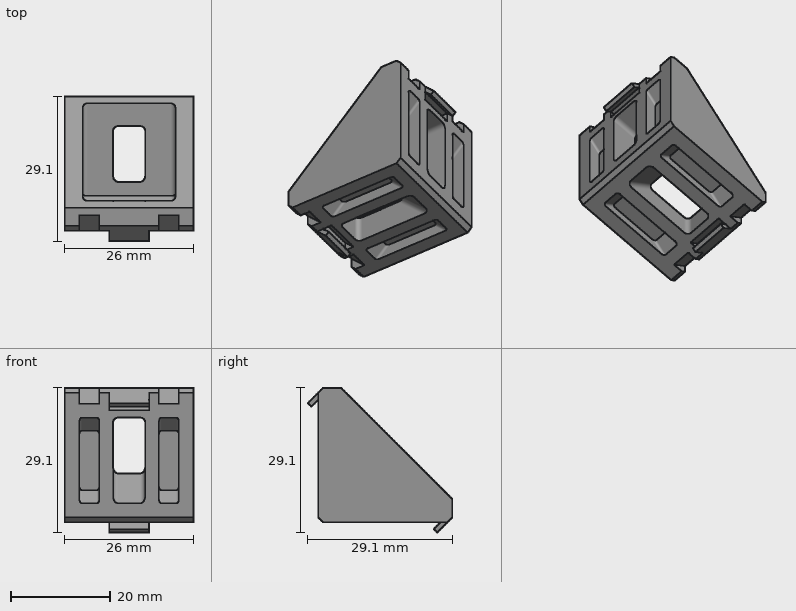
import cadquery as cq


width = 26.0
leg = 27.05
leg_end = 4.65
corner_chamfer = 1.0

pocket_width = 18.7
pocket_chamfer = 1.0
pocket_fillet = 1.0
wall = 6.03

slot_start = 3.85
slot_end = 21.05
center_slot_width = 6.46
center_slot_fillet = 1.0
side_slot_width = 4.0
side_slot_offset = 8.0
side_slot_depth = 2.62
side_slot_fillet = 0.5

lip_width = 8.0
lip_reach = 2.07
lip_drop = 1.43
notch_end = 23.9
recess_start = 22.6

clearance = 0.58


def prism(points, x_size, x_center=0.0):
    """Extrude a (y, z) outline along X, centred on x_center."""
    outline = cq.Workplane("YZ").polyline(points).close()
    return outline.extrude(x_size / 2, both=True).translate((x_center, 0, 0))


def with_mirror(shape):
    """Add the copy of a front-face shape that belongs to the bottom face."""
    return shape.union(shape.mirror(cq.Vector(0, 1, -1)))


def make_body():
    return prism(
        [
            (corner_chamfer, 0),
            (leg - corner_chamfer, 0),
            (leg, corner_chamfer),
            (leg, leg_end),
            (leg_end, leg),
            (corner_chamfer, leg),
            (0, leg - corner_chamfer),
            (0, corner_chamfer),
        ],
        width,
    )


def make_pocket():
    chamfer_end = wall + pocket_chamfer
    outside = leg + clearance
    pocket = prism(
        [
            (wall, chamfer_end),
            (chamfer_end, wall),
            (outside, wall),
            (outside, outside),
            (wall, outside),
        ],
        pocket_width,
    )
    return pocket.edges("not |X").fillet(pocket_fillet)


def make_center_slot():
    """Through slot with a straight upper end and a lower end rising inward at 45 degrees."""
    inner = wall + clearance
    slot = prism(
        [
            (-clearance, slot_start - clearance),
            (inner, slot_start + inner),
            (inner, slot_end),
            (-clearance, slot_end),
        ],
        center_slot_width,
    )
    return slot.edges("not (|X or |Z)").fillet(center_slot_fillet)


def make_side_slot(x_center):
    """Blind slot whose two ends converge inward at 45 degrees."""
    slot = prism(
        [
            (-clearance, slot_start - clearance),
            (side_slot_depth, slot_start + side_slot_depth),
            (side_slot_depth, slot_end - side_slot_depth),
            (-clearance, slot_end + clearance),
        ],
        side_slot_width,
        x_center,
    )
    return slot.edges("not (|X or |Z)").fillet(side_slot_fillet)


def make_end_notch(x_center):
    """45 degree notch across the chamfered end of the leg."""
    top = leg + clearance
    return prism(
        [
            (-clearance, notch_end - clearance),
            (top - notch_end, top),
            (-clearance, top),
        ],
        side_slot_width,
        x_center,
    )


def make_lip_recess():
    """Triangular recess that opens below the lip."""
    lip_underside = leg - corner_chamfer - lip_drop
    return prism(
        [(0, recess_start), (lip_underside - recess_start, lip_underside), (0, lip_underside)],
        lip_width,
    )


def make_lip():
    """45 degree plate whose upper face continues the corner chamfer of the leg."""
    root = leg - corner_chamfer
    tip_cut = lip_drop / 2
    return prism(
        [
            (0, root),
            (-lip_reach, root - lip_reach),
            (tip_cut - lip_reach, root - lip_reach - tip_cut),
            (0, root - lip_drop),
            (corner_chamfer, root),
        ],
        lip_width,
    )


result = make_body().cut(make_pocket())
result = result.cut(with_mirror(make_center_slot()))
result = result.cut(with_mirror(make_lip_recess()))
for x in (-side_slot_offset, side_slot_offset):
    result = result.cut(with_mirror(make_side_slot(x)))
    result = result.cut(with_mirror(make_end_notch(x)))
result = result.union(with_mirror(make_lip()))